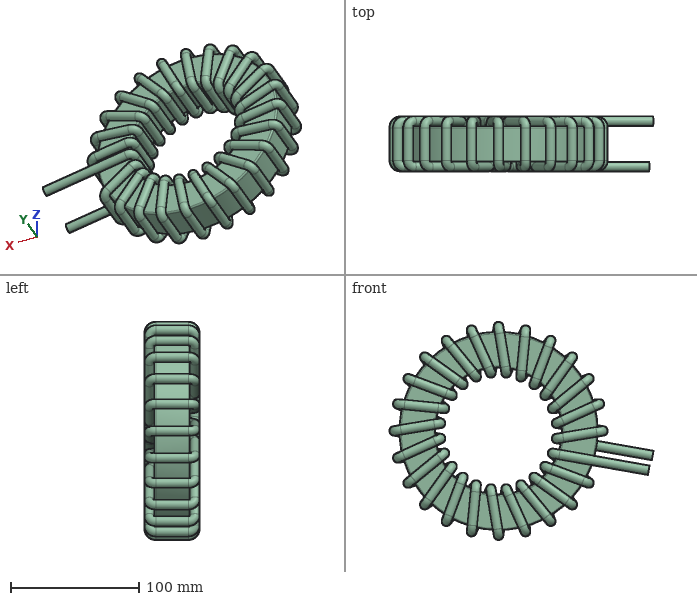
import cadquery as cq
import math


wire_diameter = 7.62
wire_radius = wire_diameter / 2
outer_leg_gap = 0.13

core_length = 27.94
core_outer_radius = 77.47
core_inner_radius = 49.53
core_edge_fillet = 1.27

pitch_count = 24
pitch_angle = 360 / pitch_count
first_bore_angle = -pitch_angle / 2
lead_length = 76.2
lead_angle = -10
leg_outer_radius = core_outer_radius + outer_leg_gap + wire_radius
leg_bore_radius = core_inner_radius - wire_radius
face_offset = core_length / 2 + wire_radius
bend_radius = core_edge_fillet + wire_radius

FRONT = -face_offset
BACK = face_offset


def ring_point(radius, angle, y):
    """Point at a polar position about the Y axis; the angle runs from +X towards +Z."""
    angle_rad = math.radians(angle)
    return cq.Vector(radius * math.cos(angle_rad), y, radius * math.sin(angle_rad))


def winding_corners():
    """Sharp corners of the wire axis, from the back lead end to the front lead end."""
    lead = ring_point(lead_length, lead_angle, 0)
    corners = [ring_point(leg_bore_radius, first_bore_angle, BACK) + lead]
    for turn in range(pitch_count):
        bore_angle = first_bore_angle + turn * pitch_angle
        corners.append(ring_point(leg_bore_radius, bore_angle, BACK))
        corners.append(ring_point(leg_bore_radius, bore_angle, FRONT))
        if turn < pitch_count - 1:
            outer_angle = bore_angle + pitch_angle / 2
            corners.append(ring_point(leg_outer_radius, outer_angle, FRONT))
            corners.append(ring_point(leg_outer_radius, outer_angle, BACK))
    corners.append(corners[-1] + lead)
    return corners


def rounded_path(corners, radius):
    """Wire through the corners, each square corner replaced by a tangent quarter arc."""
    edges = []
    start = corners[0]
    for before, corner, after in zip(corners, corners[1:], corners[2:]):
        back_step = (before - corner).normalized() * radius
        ahead_step = (after - corner).normalized() * radius
        arc_start = corner + back_step
        arc_end = corner + ahead_step
        arc_middle = corner + (back_step + ahead_step) * (1 - math.sqrt(0.5))
        edges.append(cq.Edge.makeLine(start, arc_start))
        edges.append(cq.Edge.makeThreePointArc(arc_start, arc_middle, arc_end))
        start = arc_end
    edges.append(cq.Edge.makeLine(start, corners[-1]))
    return cq.Wire.assembleEdges(edges)


def make_core():
    """Ring core with all four circular edges rounded."""
    return (
        cq.Workplane("XZ", origin=(0, core_length / 2, 0))
        .circle(core_outer_radius)
        .circle(core_inner_radius)
        .extrude(core_length)
        .faces("|Y")
        .edges()
        .fillet(core_edge_fillet)
    )


def make_winding():
    """Round wire swept along the whole winding, with straight leads at both ends."""
    corners = winding_corners()
    path = rounded_path(corners, bend_radius)
    start_plane = cq.Plane(origin=corners[0], xDir=(0, 1, 0), normal=corners[1] - corners[0])
    return cq.Workplane(start_plane).circle(wire_radius).sweep(cq.Workplane(path))


core = make_core()
winding = make_winding()

result = cq.Compound.makeCompound([core.val(), winding.val()])